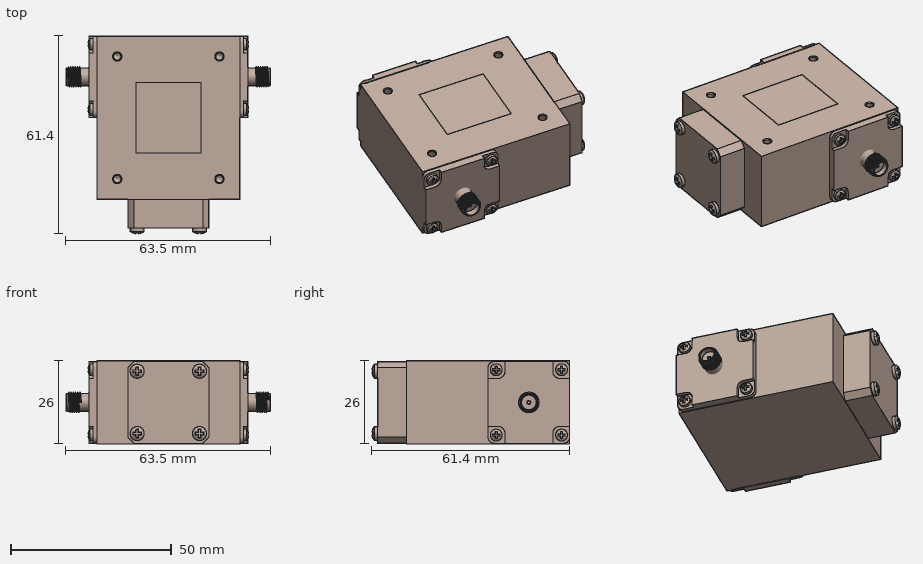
import cadquery as cq
import math

HOUSING_X, HOUSING_Y, HOUSING_Z = 44.45, 50.8, 26.0
LABEL_X, LABEL_Y, LABEL_DEPTH = 20.2, 22.05, 0.05

MOUNT_SPACING_X, MOUNT_SPACING_Y = 31.75, 38.1
MOUNT_DIA, MOUNT_MOUTH_DIA, MOUNT_DEPTH = 2.3, 2.85, 4.45
DRILL_POINT_ANGLE = 118.0

BLOCK_X, BLOCK_Y, BLOCK_Z = 25.2, 8.9, 25.4
BLOCK_CHAMFER = 1.9
BLOCK_SCREW_SPACING = 19.35

PLATE_SIDE, PLATE_THICKNESS = 25.4, 2.5
PLATE_CORNER_RADIUS = 1.9
PLATE_Y = (HOUSING_Y - PLATE_SIDE) / 2
PLATE_SCREW_SPACING = 20.3
POCKET_SIDE, POCKET_DEPTH, POCKET_RADIUS = 5.3, 1.3, 2.2

OVERALL_X = 63.5
BARREL_DIA = 5.6
BARREL_LENGTH = OVERALL_X / 2 - HOUSING_X / 2 - PLATE_THICKNESS
BARREL_ROOT_FILLET = 0.3
BARREL_TIP_CHAMFER = 0.2
THREAD_DIA, THREAD_PITCH, THREAD_BASE_WIDTH = 6.35, 0.7, 0.6
THREAD_START, THREAD_LENGTH = 2.55, 3.8
BORE_DIA, BORE_DEPTH = 4.6, 1.9
SOCKET_MOUTH_DIA, SOCKET_MOUTH_DEPTH = 1.2, 0.25
SOCKET_DIA, SOCKET_DEPTH = 0.95, 1.9

SLOT_TAPER = 10.0
EMBED = 0.1


def grid(spacing_x, spacing_y):
    """Four points at the corners of a centred rectangle."""
    return [(sx * spacing_x / 2, sy * spacing_y / 2) for sx in (-1, 1) for sy in (-1, 1)]


def make_screw(head_dia, rim_height, dome_height, slot_length, slot_width, slot_depth):
    """Domed screw head standing on Z = 0, with a tapered cross recess."""
    radius = head_dia / 2
    height = rim_height + dome_height
    dome_radius = (radius**2 + dome_height**2) / (2 * dome_height)
    mid_r = radius / 2
    mid_z = height - dome_radius + math.sqrt(dome_radius**2 - mid_r**2)
    head = (
        cq.Workplane("XZ")
        .moveTo(0, -EMBED)
        .lineTo(radius, -EMBED)
        .lineTo(radius, rim_height)
        .threePointArc((mid_r, mid_z), (0, height))
        .close()
        .revolve(360, (0, 0), (0, 1))
    )
    cross = (
        cq.Sketch()
        .rect(slot_length, slot_width)
        .rect(slot_width, slot_length)
        .clean()
    )
    recess = (
        cq.Workplane("XY", origin=(0, 0, height))
        .placeSketch(cross)
        .extrude(-slot_depth, taper=SLOT_TAPER)
    )
    return head.cut(recess)


def make_connector():
    """Threaded coaxial connector standing on Z = 0."""
    barrel_r = BARREL_DIA / 2
    root_r = barrel_r + BARREL_ROOT_FILLET
    arc_inset = BARREL_ROOT_FILLET * (1 - math.sqrt(0.5))
    barrel = (
        cq.Workplane("XZ")
        .moveTo(0, -EMBED)
        .lineTo(root_r, -EMBED)
        .lineTo(root_r, 0)
        .threePointArc((barrel_r + arc_inset, arc_inset), (barrel_r, BARREL_ROOT_FILLET))
        .lineTo(barrel_r, BARREL_LENGTH - BARREL_TIP_CHAMFER)
        .lineTo(barrel_r - BARREL_TIP_CHAMFER, BARREL_LENGTH)
        .lineTo(0, BARREL_LENGTH)
        .close()
        .revolve(360, (0, 0), (0, 1))
    )
    thread_root_r = barrel_r - EMBED
    helix = cq.Wire.makeHelix(THREAD_PITCH, THREAD_LENGTH, thread_root_r)
    thread = (
        cq.Workplane("XZ")
        .moveTo(thread_root_r, -THREAD_BASE_WIDTH / 2)
        .lineTo(THREAD_DIA / 2, 0)
        .lineTo(thread_root_r, THREAD_BASE_WIDTH / 2)
        .close()
        .sweep(cq.Workplane(helix), isFrenet=True)
        .translate((0, 0, THREAD_START))
    )
    connector = barrel.union(thread)
    bore_floor_z = BARREL_LENGTH - BORE_DEPTH
    for diameter, depth, mouth_z in [
        (BORE_DIA, BORE_DEPTH, BARREL_LENGTH),
        (SOCKET_MOUTH_DIA, SOCKET_MOUTH_DEPTH, bore_floor_z),
        (SOCKET_DIA, SOCKET_DEPTH, bore_floor_z),
    ]:
        bore = cq.Workplane("XY", origin=(0, 0, mouth_z)).circle(diameter / 2).extrude(-depth)
        connector = connector.cut(bore)
    return connector


def make_plate():
    """Connector plate lying on Z = 0, with screws in its corner pockets and a connector."""
    plate = (
        cq.Workplane("XY", origin=(0, 0, -EMBED))
        .rect(PLATE_SIDE, PLATE_SIDE)
        .extrude(PLATE_THICKNESS + EMBED)
        .edges("|Z")
        .fillet(PLATE_CORNER_RADIUS)
    )
    floor_z = PLATE_THICKNESS - POCKET_DEPTH
    pockets = (
        cq.Workplane("XY", origin=(0, 0, floor_z))
        .pushPoints(grid(PLATE_SIDE, PLATE_SIDE))
        .rect(2 * POCKET_SIDE, 2 * POCKET_SIDE)
        .extrude(POCKET_DEPTH)
        .edges("|Z")
        .fillet(POCKET_RADIUS)
    )
    plate = plate.cut(pockets)
    screw = make_screw(
        head_dia=3.7, rim_height=0.9, dome_height=0.7, slot_length=2.35, slot_width=0.75, slot_depth=0.75
    )
    for x, y in grid(PLATE_SCREW_SPACING, PLATE_SCREW_SPACING):
        plate = plate.union(screw.translate((x, y, floor_z)))
    return plate.union(make_connector().translate((0, 0, PLATE_THICKNESS)))


def make_load_block():
    """Chamfered block lying on Z = 0, with four screws on its outer face."""
    block = (
        cq.Workplane("XY", origin=(0, 0, -EMBED))
        .rect(BLOCK_X, BLOCK_Z)
        .extrude(BLOCK_Y + EMBED)
        .edges("|Z")
        .chamfer(BLOCK_CHAMFER)
    )
    screw = make_screw(
        head_dia=4.4, rim_height=1.0, dome_height=0.8, slot_length=2.8, slot_width=0.95, slot_depth=0.95
    )
    for x, y in grid(BLOCK_SCREW_SPACING, BLOCK_SCREW_SPACING):
        block = block.union(screw.translate((x, y, BLOCK_Y)))
    return block


def make_mount_holes():
    """Drilled holes with a countersunk mouth and a conical bottom, opening at the top face."""
    radius, mouth_r = MOUNT_DIA / 2, MOUNT_MOUTH_DIA / 2
    point = radius / math.tan(math.radians(DRILL_POINT_ANGLE / 2))
    hole = (
        cq.Workplane("XZ")
        .polyline([
            (0, 0),
            (mouth_r, 0),
            (radius, radius - mouth_r),
            (radius, -MOUNT_DEPTH),
            (0, -MOUNT_DEPTH - point),
        ])
        .close()
        .revolve(360, (0, 0), (0, 1))
    )
    holes = cq.Workplane("XY")
    for x, y in grid(MOUNT_SPACING_X, MOUNT_SPACING_Y):
        holes = holes.add(hole.translate((x, y, HOUSING_Z / 2)))
    return holes.combine()


def place(piece, origin, x_dir, normal):
    """Set a piece built on Z = 0 onto the plane with the given origin and normal."""
    location = cq.Location(cq.Plane(origin=origin, xDir=x_dir, normal=normal))
    return cq.Workplane(piece.val().moved(location))


housing = cq.Workplane("XY").box(HOUSING_X, HOUSING_Y, HOUSING_Z)
label_recess = (
    cq.Workplane("XY", origin=(0, 0, HOUSING_Z / 2))
    .rect(LABEL_X, LABEL_Y)
    .extrude(-LABEL_DEPTH)
)
result = housing.cut(label_recess).cut(make_mount_holes())
result = result.union(place(make_load_block(), (0, -HOUSING_Y / 2, 0), (1, 0, 0), (0, -1, 0)))

side_plate = make_plate()
for side in (-1, 1):
    result = result.union(
        place(side_plate, (side * HOUSING_X / 2, PLATE_Y, 0), (0, side, 0), (side, 0, 0))
    )